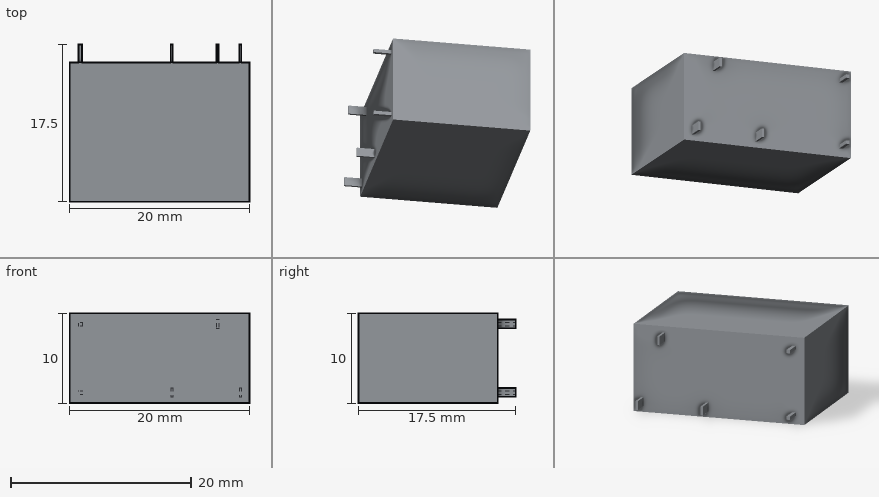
import cadquery as cq

HOUSING_LENGTH = 20.0
HOUSING_DEPTH = 15.5
HOUSING_HEIGHT = 10.0

PIN_LENGTH = 2.0
GRID_PITCH = 2.55
FIRST_COLUMN_INSET = 1.18
FIRST_COLUMN_X = -HOUSING_LENGTH / 2 + FIRST_COLUMN_INSET
UPPER_ROW_Z = 1.5 * GRID_PITCH
LOWER_ROW_Z = -UPPER_ROW_Z

SQUARE_PIN_SIDE = 0.4
BLADE_THICKNESS = 0.25
BLADE_HEIGHT = 1.0

SQUARE_PIN_PLACES = [(0, UPPER_ROW_Z), (0, LOWER_ROW_Z)]
BLADE_PLACES = [(4, LOWER_ROW_Z), (6, UPPER_ROW_Z), (7, LOWER_ROW_Z)]


def make_housing():
    """Plain block centred on the origin."""
    return cq.Workplane("XY").box(HOUSING_LENGTH, HOUSING_DEPTH, HOUSING_HEIGHT)


def make_pin(column, row_z, width, height):
    """Rectangular pin standing on the +Y face of the housing."""
    center_x = FIRST_COLUMN_X + column * GRID_PITCH
    center_y = (HOUSING_DEPTH + PIN_LENGTH) / 2
    pin = cq.Workplane("XY").box(width, PIN_LENGTH, height)
    return pin.translate((center_x, center_y, row_z))


housing = make_housing()

square_pins = []
for column, row_z in SQUARE_PIN_PLACES:
    square_pin = make_pin(column, row_z, SQUARE_PIN_SIDE, SQUARE_PIN_SIDE)
    square_pins.append(square_pin.val())

blades = []
for column, row_z in BLADE_PLACES:
    blade = make_pin(column, row_z, BLADE_THICKNESS, BLADE_HEIGHT)
    blades.append(blade.val())

result = cq.Compound.makeCompound([housing.val(), *square_pins, *blades])